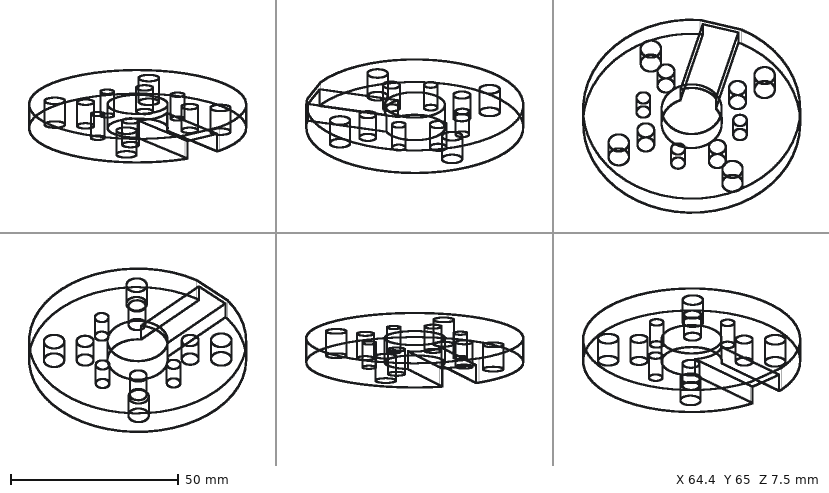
import cadquery as cq

disc_diameter = 65.0
thickness = 7.5
flat_distance = 31.85

bore_diameter = 18.0

slot_width = 11.05
slot_depth = 5.5

outer_hole_diameter = 6.1
outer_hole_offset = 17.7
inner_hole_diameter = 5.1
inner_hole_offset = 11.1
small_hole_diameter = 4.1
small_hole_radius = 15.0


def flatted_disc():
    """Disc resting on Z = 0, trimmed by the flat."""
    disc_radius = disc_diameter / 2
    disc = cq.Workplane("XY").circle(disc_radius).extrude(thickness)
    envelope = (
        cq.Workplane("XY")
        .box(disc_radius + flat_distance, disc_diameter, thickness, centered=(False, True, False))
        .translate((-disc_radius, 0, 0))
    )
    return disc.intersect(envelope)


def through_holes(points, diameter):
    """Cutters through the full thickness at the given XY points."""
    return cq.Workplane("XY").pushPoints(points).circle(diameter / 2).extrude(thickness)


def corner_points(offset):
    """Four points on the diagonals, symmetric about X and Y."""
    return [(x, y) for x in (-offset, offset) for y in (-offset, offset)]


def underside_slot():
    """Cutter along +X, open to the bottom face, the bore and the flat."""
    return cq.Workplane("XY").box(
        flat_distance, slot_width, slot_depth, centered=(False, True, False)
    )


small_hole_points = [
    (0, small_hole_radius),
    (-small_hole_radius, 0),
    (0, -small_hole_radius),
]

result = (
    flatted_disc()
    .cut(through_holes([(0, 0)], bore_diameter))
    .cut(underside_slot())
    .cut(through_holes(corner_points(outer_hole_offset), outer_hole_diameter))
    .cut(through_holes(corner_points(inner_hole_offset), inner_hole_diameter))
    .cut(through_holes(small_hole_points, small_hole_diameter))
)